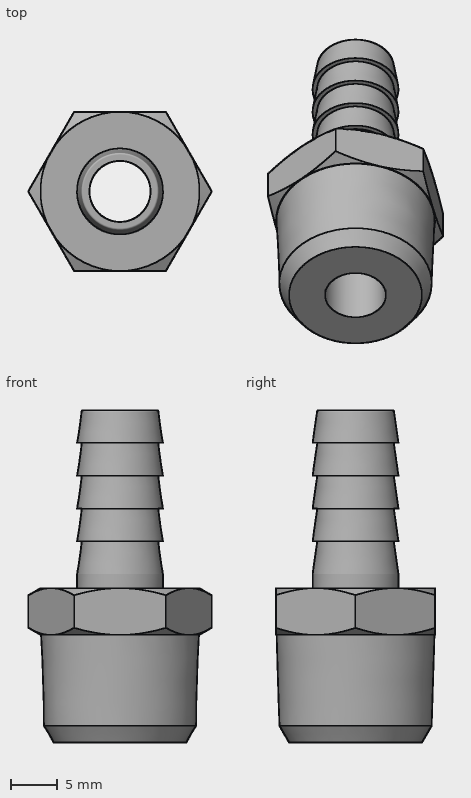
import cadquery as cq
import math

lead_in_height = 1.8
hex_bottom = 11.5
neck_height = 0.1
neck_bottom = hex_bottom - neck_height
hex_height = 5.0
hex_top = hex_bottom + hex_height
collar_height = 1.5
barb_pitch = 3.5
barb_count = 5
barbs_bottom = hex_top + collar_height
total_height = barbs_bottom + barb_count * barb_pitch

thread_large_diameter = 16.89
thread_taper = 1 / 16
thread_small_diameter = thread_large_diameter - thread_taper * (neck_bottom - lead_in_height)
lead_in_diameter = 14.2

hex_sides = 6
hex_across_flats = 17.0
hex_across_corners = hex_across_flats / math.cos(math.pi / hex_sides)
hex_chamfer_angle = math.radians(30)

barb_large_diameter = 9.2
barb_small_diameter = 8.2
bore_diameter = 6.5
tip_fillet = 0.2


def frustum(bottom_diameter, top_diameter, bottom, top):
    """Round solid about Z whose diameter changes linearly from bottom to top."""
    return (
        cq.Workplane("YZ")
        .moveTo(0, bottom)
        .lineTo(bottom_diameter / 2, bottom)
        .lineTo(top_diameter / 2, top)
        .lineTo(0, top)
        .close()
        .revolve(360, (0, 0, 0), (0, 1, 0))
    )


def threaded_end():
    """Lead-in cone, tapered thread body and the short neck under the hexagon."""
    lead_in = frustum(lead_in_diameter, thread_small_diameter, 0, lead_in_height)
    taper = frustum(thread_small_diameter, thread_large_diameter, lead_in_height, neck_bottom)
    neck = frustum(thread_large_diameter, thread_large_diameter, neck_bottom, hex_bottom)
    return lead_in.union(taper).union(neck)


def hexagon():
    """Hexagon with flats facing +/-Y and its corners chamfered at both ends."""
    prism = (
        cq.Workplane("XY")
        .workplane(offset=hex_bottom)
        .polygon(hex_sides, hex_across_corners)
        .extrude(hex_height)
    )
    corner_radius = hex_across_corners / 2
    flat_radius = hex_across_flats / 2
    chamfer_height = (corner_radius - flat_radius) * math.tan(hex_chamfer_angle)
    envelope = (
        cq.Workplane("YZ")
        .moveTo(0, hex_bottom)
        .lineTo(flat_radius, hex_bottom)
        .lineTo(corner_radius, hex_bottom + chamfer_height)
        .lineTo(corner_radius, hex_top - chamfer_height)
        .lineTo(flat_radius, hex_top)
        .lineTo(0, hex_top)
        .close()
        .revolve(360, (0, 0, 0), (0, 1, 0))
    )
    return prism.intersect(envelope)


def hose_tail():
    """Plain collar with a stack of barbs that narrow toward the rounded tip."""
    tail = frustum(barb_large_diameter, barb_large_diameter, hex_top, barbs_bottom)
    for index in range(barb_count):
        bottom = barbs_bottom + index * barb_pitch
        tail = tail.union(
            frustum(barb_large_diameter, barb_small_diameter, bottom, bottom + barb_pitch)
        )
    return tail.faces(">Z").edges().fillet(tip_fillet)


def bore():
    """Straight passage through the full height."""
    return cq.Workplane("XY").circle(bore_diameter / 2).extrude(total_height)


result = threaded_end().union(hexagon()).union(hose_tail()).cut(bore())